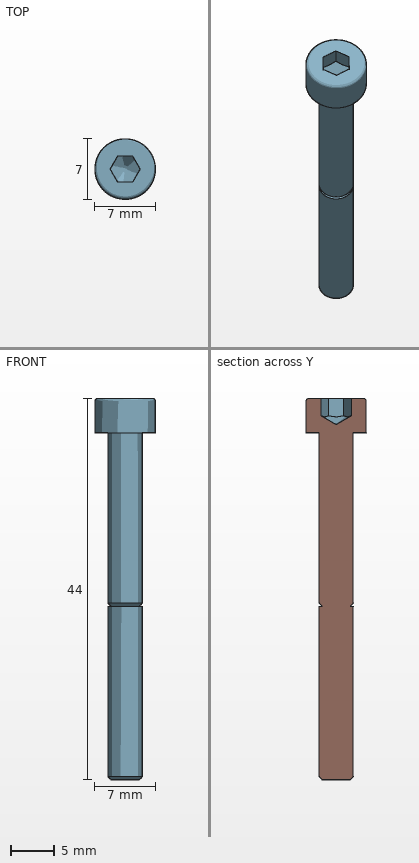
import cadquery as cq
import math

thread_diameter = 4.0
shank_length = 40.0
thread_length = 20.0
end_chamfer = 0.38

head_diameter = 7.0
head_height = thread_diameter
head_fillet = 0.35

socket_across_flats = 3.0
socket_depth = 2.0
socket_tip_angle = 120.0


def shank_section(top_z, length):
    """Cylindrical length of shank with a chamfered lower end."""
    section = cq.Workplane("XY").workplane(offset=top_z - length)
    section = section.circle(thread_diameter / 2).extrude(length)
    return section.faces("<Z").edges().chamfer(end_chamfer)


def head():
    """Cylindrical head with a rounded top rim."""
    cylinder = cq.Workplane("XY").circle(head_diameter / 2).extrude(head_height)
    return cylinder.faces(">Z").edges().fillet(head_fillet)


def socket():
    """Hexagonal socket, corners on the X axis, closed by a conical bottom."""
    corner_radius = socket_across_flats / math.sqrt(3)
    tip_height = corner_radius / math.tan(math.radians(socket_tip_angle / 2))
    wall_end_z = head_height - socket_depth
    tip_z = wall_end_z - tip_height

    hexagon = cq.Workplane("XY").workplane(offset=tip_z)
    hexagon = hexagon.polygon(6, 2 * corner_radius).extrude(head_height - tip_z)

    pointed_plug = (
        cq.Workplane("XZ")
        .moveTo(0, tip_z)
        .lineTo(corner_radius, wall_end_z)
        .lineTo(corner_radius, head_height)
        .lineTo(0, head_height)
        .close()
        .revolve(360, (0, 0, 0), (0, 1, 0))
    )
    return hexagon.intersect(pointed_plug)


plain_length = shank_length - thread_length
plain_shank = shank_section(0, plain_length)
threaded_shank = shank_section(-plain_length, thread_length)

result = head().union(plain_shank).union(threaded_shank).cut(socket())